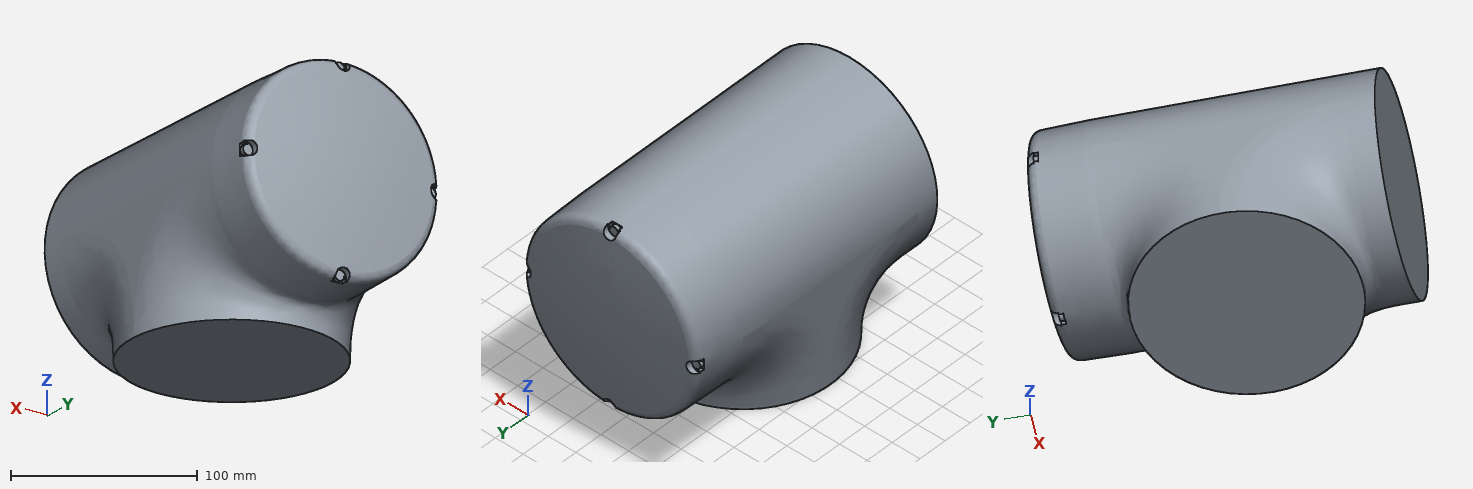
import cadquery as cq
import math


PIPE_R = 63.5
FRONT_Y = -85.05
TOTAL_LENGTH = 196.97
CAP_END_Y = FRONT_Y + TOTAL_LENGTH
CAP_LENGTH = 36.92
CAP_SEAM_Y = CAP_END_Y - CAP_LENGTH
BRANCH_BOTTOM_Z = -76.59
RIM_HEIGHT = 1.5

BLEND_HALF_LENGTH = 70.0
BLEND_BOTTOM_Z = BRANCH_BOTTOM_Z + RIM_HEIGHT
STEPS_AROUND = 48
STEPS_ALONG = 16
MIN_DEGREE = 3
MAX_DEGREE = 8
SURFACE_TOLERANCE = 1e-4
JOINING_TOLERANCE = 1e-3

DOME_SAG = 5.8
DOME_BASE_Y = CAP_END_Y - DOME_SAG
DOME_BASE_R = 62.6
SHOULDER_ROUND = 5.7

NOTCH_COUNT = 4
SCOOP_R = 4.35
SCOOP_AXIS_R = 60.6
SCOOP_DEPTH = 9.1
SCOOP_FLOOR_Y = CAP_END_Y - SCOOP_DEPTH
SLOT_LENGTH = 2.7
SLOT_END_Y = SCOOP_FLOOR_Y - SLOT_LENGTH
SLOT_WIDTH = 7.2
PIN_R = 3.1
PIN_AXIS_R = SCOOP_AXIS_R - SCOOP_R + PIN_R


def blend_point(around, along, side):
    """Point on the blend: a parabola at constant X, tangent to the barrel and to the branch."""
    x = -PIPE_R * math.cos(around)
    half_chord = PIPE_R * math.sin(around)
    barrel_weight = (1 - along) ** 2
    corner_weight = 2 * along * (1 - along)
    branch_weight = along ** 2
    y = barrel_weight * BLEND_HALF_LENGTH + (corner_weight + branch_weight) * half_chord
    z = -(barrel_weight + corner_weight) * half_chord + branch_weight * BLEND_BOTTOM_Z
    return cq.Vector(x, side * y, z)


def blend_face(side):
    """Smooth surface over the blend on the +Y (side = 1) or -Y (side = -1) half."""
    grid = [
        [
            blend_point(math.pi * i / STEPS_AROUND, j / STEPS_ALONG, side)
            for j in range(STEPS_ALONG + 1)
        ]
        for i in range(STEPS_AROUND + 1)
    ]
    return cq.Face.makeSplineApprox(grid, tol=SURFACE_TOLERANCE, minDeg=MIN_DEGREE, maxDeg=MAX_DEGREE)


def edge_nearest(face, point):
    """Edge of the face whose middle lies closest to the point."""
    return min(face.Edges(), key=lambda edge: edge.positionAt(0.5).sub(point).Length)


def face_from_edges(edges):
    return cq.Face.makeFromWires(cq.Wire.assembleEdges(edges))


def make_blend():
    """Lower half of the tee middle, closed by planar faces around the two blend surfaces."""
    blends = {side: blend_face(side) for side in (-1, 1)}
    faces = list(blends.values())

    for side, blend in blends.items():
        arc = edge_nearest(blend, blend_point(math.pi / 2, 0, side))
        chord = cq.Edge.makeLine(blend_point(0, 0, side), blend_point(math.pi, 0, side))
        faces.append(face_from_edges([arc, chord]))

    for around in (0, math.pi):
        curves = [edge_nearest(blend, blend_point(around, 0.5, side)) for side, blend in blends.items()]
        cheek_top = cq.Edge.makeLine(blend_point(around, 0, -1), blend_point(around, 0, 1))
        faces.append(face_from_edges(curves + [cheek_top]))

    faces.append(
        face_from_edges(
            [edge_nearest(blend, blend_point(math.pi / 2, 1, side)) for side, blend in blends.items()]
        )
    )
    top = cq.Workplane().rect(2 * PIPE_R, 2 * BLEND_HALF_LENGTH).wires().val()
    faces.append(cq.Face.makeFromWires(top))
    return cq.Workplane(cq.Solid.makeSolid(cq.Shell.makeShell(faces)))


def make_barrel():
    """Barrel and domed cap, revolved about Y in one profile."""
    dome_radius = (DOME_BASE_R ** 2 + DOME_SAG ** 2) / (2 * DOME_SAG)
    dome_mid_r = DOME_BASE_R / 2
    dome_mid_y = CAP_END_Y - dome_radius + math.sqrt(dome_radius ** 2 - dome_mid_r ** 2)
    sharp_barrel = (
        cq.Workplane("YZ")
        .moveTo(FRONT_Y, 0)
        .lineTo(FRONT_Y, PIPE_R)
        .lineTo(CAP_SEAM_Y, PIPE_R)
        .lineTo(DOME_BASE_Y, DOME_BASE_R)
        .threePointArc((dome_mid_y, dome_mid_r), (CAP_END_Y, 0))
        .close()
        .revolve(360, (0, 0, 0), (1, 0, 0))
    )
    shoulder = cq.selectors.NearestToPointSelector((0, DOME_BASE_Y, 0))
    return sharp_barrel.edges("%CIRCLE").edges(shoulder).fillet(SHOULDER_ROUND)


def make_blend_clearance():
    """Lower half of the barrel along the length that the blend replaces."""
    return cq.Workplane().box(
        2 * PIPE_R, 2 * BLEND_HALF_LENGTH, PIPE_R, centered=(True, True, False)
    ).translate((0, 0, -PIPE_R))


def make_branch_rim():
    """Short straight end of the branch below the blend."""
    return cq.Workplane().workplane(offset=BRANCH_BOTTOM_Z).circle(PIPE_R).extrude(RIM_HEIGHT)


def bar_along_y(radius, axis_z, start_y, end_y):
    """Round bar parallel to Y at the given height."""
    length = end_y - start_y
    return cq.Workplane("XZ", origin=(0, start_y, axis_z)).circle(radius).extrude(-length)


def box_standing_on(floor_z, width, start_y, end_y):
    """Box centred on X that rises from floor_z to above the barrel."""
    length = end_y - start_y
    height = PIPE_R - floor_z
    return cq.Workplane().box(width, length, height, centered=(True, False, False)).translate(
        (0, start_y, floor_z)
    )


def make_notch():
    """Cutter for the notch at the top of the cap."""
    scoop_bottom = bar_along_y(SCOOP_R, SCOOP_AXIS_R, SCOOP_FLOOR_Y, CAP_END_Y)
    scoop_sides = box_standing_on(SCOOP_AXIS_R, 2 * SCOOP_R, SCOOP_FLOOR_Y, CAP_END_Y)
    slot = box_standing_on(PIN_AXIS_R, SLOT_WIDTH, SLOT_END_Y, SCOOP_FLOOR_Y)
    pin = bar_along_y(PIN_R, PIN_AXIS_R, SLOT_END_Y, SCOOP_FLOOR_Y)
    return scoop_bottom.union(scoop_sides).union(slot.cut(pin))


barrel = make_barrel()
notch = make_notch()
for index in range(NOTCH_COUNT):
    barrel = barrel.cut(notch.rotate((0, 0, 0), (0, 1, 0), index * 360 / NOTCH_COUNT))

lower_tee = make_blend().union(make_branch_rim(), tol=JOINING_TOLERANCE)
tee = barrel.cut(make_blend_clearance()).union(lower_tee, tol=JOINING_TOLERANCE)
result = tee.solids()